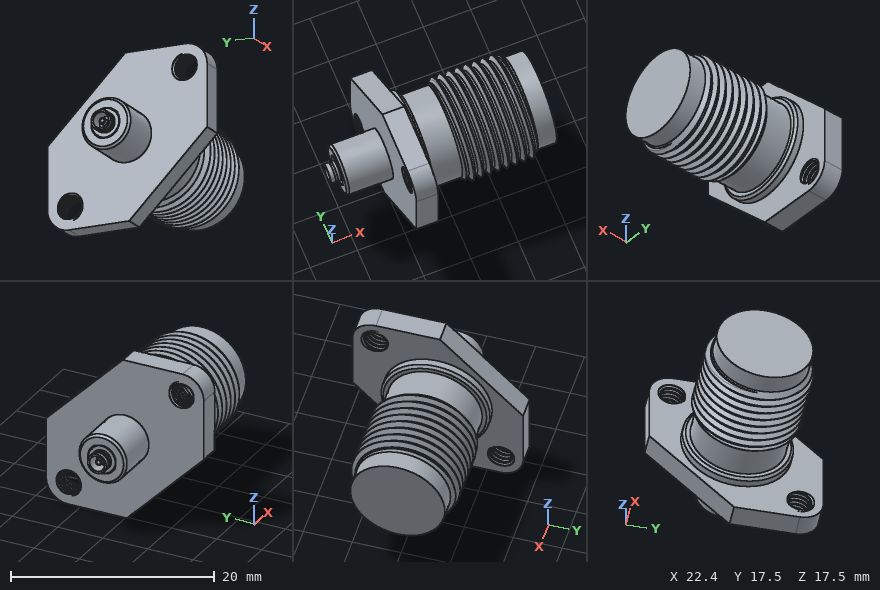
import cadquery as cq
import math

OVERALL_LENGTH = 22.35

PLATE_SIDE = 17.45
PLATE_THICKNESS = 2.32
PLATE_CORNER_CUT = 8.5
HOLE_OFFSET = 6.35
PLATE_CORNER_RADIUS = PLATE_SIDE / 2 - HOLE_OFFSET

HOLE_PITCH = 0.5
HOLE_MINOR_RADIUS = 1.25
HOLE_THREAD_DEPTH = 0.22
HOLE_THREAD_ROOT_FLAT = HOLE_PITCH / 8
HOLE_THREAD_START = 52

PLUG_LENGTH = 5.93
PLUG_TUBE_RADIUS = 1.04
PLUG_TUBE_BORE_RADIUS = 0.82
PLUG_TUBE_BORE_DEPTH = 1.5
BARREL_SETBACK = 1.05
BARREL_RADIUS = 2.65
BARREL_CHAMFER = 0.25
SNAP_GROOVE_SETBACK = 0.51
SNAP_GROOVE_WIDTH = 0.24
SNAP_GROOVE_DEPTH = 0.05
FACE_GROOVE_OUTER_RADIUS = 1.56
FACE_GROOVE_INNER_RADIUS = 1.48
FACE_GROOVE_DEPTH = 0.5
PIN_RADIUS = 0.31
PIN_NOSE_RADIUS = 0.23
PIN_SETBACK = 0.12

JACK_RADIUS = 4.84
JACK_END = OVERALL_LENGTH - PLUG_LENGTH
COLLAR_RADIUS = 5.56
COLLAR_LENGTH = 1.01
COLLAR_CHAMFER = 0.27

THREAD_START = 6.44
THREAD_LENGTH = 8.0
THREAD_MAJOR_RADIUS = 5.5
THREAD_MINOR_RADIUS = 4.98
THREAD_PITCH = 25.4 / 28
THREAD_CREST_FLAT = 0.06
THREAD_END_CHAMFER = THREAD_MAJOR_RADIUS - JACK_RADIUS
THREAD_START_ANGLE = 67

FLANK_SLOPE = math.tan(math.radians(30))
OVERCUT = 0.1


def rod(start, length, radius):
    """Cylinder on the connector axis, running from X = start towards +X."""
    return cq.Workplane("YZ", origin=(start, 0, 0)).circle(radius).extrude(length)


def ring(start, length, outer_radius, inner_radius):
    """Tube on the connector axis, running from X = start towards +X."""
    profile = cq.Workplane("YZ", origin=(start, 0, 0)).circle(outer_radius).circle(inner_radius)
    return profile.extrude(length)


def helical_groove(pitch, length, floor_radius, mouth_radius, floor_width):
    """60 degree trapezoid swept along a helix about X, starting at X = 0 on the -Z side."""
    mouth_half = floor_width / 2 + abs(mouth_radius - floor_radius) * FLANK_SLOPE
    floor_half = floor_width / 2
    path = cq.Wire.makeHelix(pitch, length, floor_radius)
    profile = cq.Workplane("XZ").polyline([
        (floor_radius, -floor_half),
        (mouth_radius, -mouth_half),
        (mouth_radius, mouth_half),
        (floor_radius, floor_half),
    ]).close()
    groove = profile.sweep(cq.Workplane(path), isFrenet=True)
    return groove.rotate((0, 0, 0), (0, 1, 0), 90)


def plate_blank(start, thickness):
    """Square plate with two opposite corners cut off and the other two rounded."""
    half = PLATE_SIDE / 2
    cut_end = half - PLATE_CORNER_CUT
    arc_start = half - PLATE_CORNER_RADIUS
    return (
        cq.Workplane("YZ", origin=(start, 0, 0))
        .moveTo(cut_end, half)
        .lineTo(-arc_start, half)
        .radiusArc((-half, arc_start), -PLATE_CORNER_RADIUS)
        .lineTo(-half, -cut_end)
        .lineTo(-cut_end, -half)
        .lineTo(arc_start, -half)
        .radiusArc((half, -arc_start), -PLATE_CORNER_RADIUS)
        .lineTo(half, cut_end)
        .close()
        .extrude(thickness)
    )


def flange_plate():
    """Holes are tapped through an overthick plate, which is then trimmed to thickness."""
    run_out = 2 * HOLE_PITCH
    overthick_start = -run_out
    overthick = PLATE_THICKNESS + 2 * run_out
    bore = rod(overthick_start, overthick, HOLE_MINOR_RADIUS)
    groove = helical_groove(
        HOLE_PITCH,
        PLATE_THICKNESS + 2 * HOLE_PITCH,
        HOLE_MINOR_RADIUS + HOLE_THREAD_DEPTH,
        HOLE_MINOR_RADIUS - OVERCUT / 2,
        HOLE_THREAD_ROOT_FLAT,
    ).rotate((0, 0, 0), (1, 0, 0), HOLE_THREAD_START)
    groove = groove.translate((-HOLE_PITCH, 0, 0))
    plate = plate_blank(overthick_start, overthick)
    for turn in (0, 180):
        for tool in (bore, groove):
            placed = tool.translate((0, -HOLE_OFFSET, HOLE_OFFSET))
            plate = plate.cut(placed.rotate((0, 0, 0), (1, 0, 0), turn))
    return plate.intersect(plate_blank(0, PLATE_THICKNESS))


def plug():
    """Chamfered barrel with a thin tube and contact pin protruding from its face."""
    tip = -PLUG_LENGTH
    barrel_face = tip + BARREL_SETBACK
    barrel = rod(barrel_face, -barrel_face, BARREL_RADIUS).faces("<X").chamfer(BARREL_CHAMFER)
    barrel = barrel.cut(ring(
        barrel_face,
        FACE_GROOVE_DEPTH,
        FACE_GROOVE_OUTER_RADIUS,
        FACE_GROOVE_INNER_RADIUS,
    ))
    body = barrel.union(rod(tip, PLUG_LENGTH, PLUG_TUBE_RADIUS))
    body = body.cut(ring(
        tip + SNAP_GROOVE_SETBACK,
        SNAP_GROOVE_WIDTH,
        PLUG_TUBE_RADIUS + OVERCUT,
        PLUG_TUBE_RADIUS - SNAP_GROOVE_DEPTH,
    ))
    body = body.cut(rod(tip, PLUG_TUBE_BORE_DEPTH, PLUG_TUBE_BORE_RADIUS))
    return body.union(center_pin(tip))


def center_pin(tip):
    """Contact pin with a narrower hemispherical nose, rooted in the floor of the tube bore."""
    shoulder = tip + PIN_SETBACK + PIN_NOSE_RADIUS
    shank = rod(shoulder, -shoulder, PIN_RADIUS)
    return shank.union(cq.Workplane("XY").sphere(PIN_NOSE_RADIUS).translate((shoulder, 0, 0)))


def jack():
    """Threaded cylinder with a locating collar against the plate."""
    core = rod(0, JACK_END, JACK_RADIUS)
    collar = rod(0, PLATE_THICKNESS + COLLAR_LENGTH, COLLAR_RADIUS).faces(">X").chamfer(COLLAR_CHAMFER)
    return core.union(collar).union(jack_thread())


def jack_thread():
    """Thread cut along an overlong rod, then trimmed to the chamfered length."""
    envelope = rod(THREAD_START, THREAD_LENGTH, THREAD_MAJOR_RADIUS)
    envelope = envelope.faces("<X or >X").chamfer(THREAD_END_CHAMFER)
    depth = THREAD_MAJOR_RADIUS - THREAD_MINOR_RADIUS
    floor_width = THREAD_PITCH - THREAD_CREST_FLAT - 2 * depth * FLANK_SLOPE
    length = THREAD_LENGTH + 2 * THREAD_PITCH
    groove = helical_groove(
        THREAD_PITCH,
        length,
        THREAD_MINOR_RADIUS,
        THREAD_MAJOR_RADIUS + OVERCUT / 2,
        floor_width,
    ).rotate((0, 0, 0), (1, 0, 0), THREAD_START_ANGLE)
    run_out = 2 * THREAD_PITCH
    long_rod = rod(THREAD_START - run_out, THREAD_LENGTH + 2 * run_out, THREAD_MAJOR_RADIUS)
    threaded_rod = long_rod.cut(groove.translate((THREAD_START - THREAD_PITCH, 0, 0)))
    return threaded_rod.intersect(envelope)


result = flange_plate().union(jack()).union(plug())